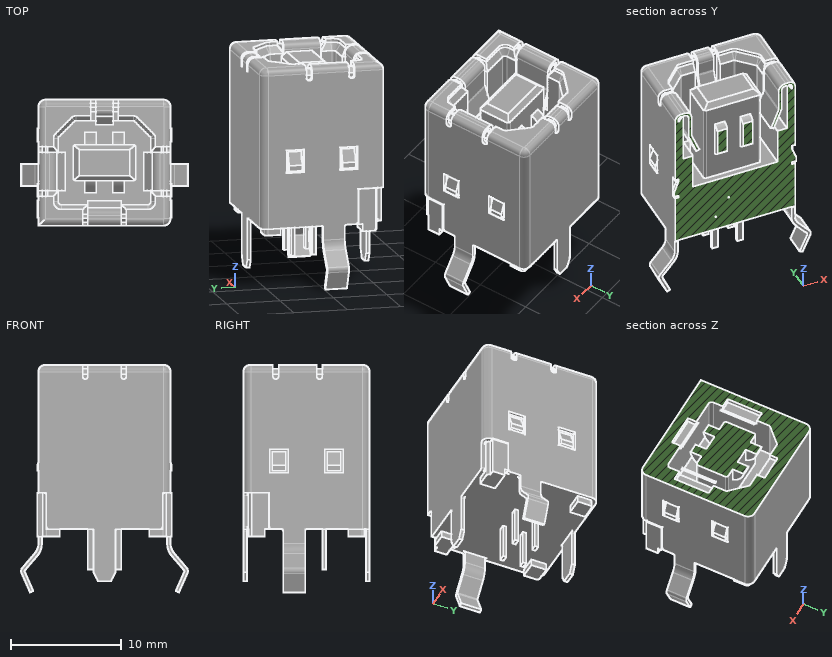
import cadquery as cq
import math


SHELL_X = 12.0
SHELL_Y = 11.46
SHELL_TOP = 14.9
SHEET = 0.34
CORNER_RADIUS = 0.68
RIM_RADIUS = 0.63
HALF_X = SHELL_X / 2
HALF_Y = SHELL_Y / 2
INNER_X = HALF_X - SHEET
INNER_Y = HALF_Y - SHEET
INNER_TOP = SHELL_TOP - SHEET

SLOT_DEPTH = 1.3
TAB_KINK_BEND = 0.3
TAB_LEAN_HEIGHT = 2.0
TAB_SIDE_Y = -0.8

CAVITY_X = 4.2
CAVITY_Y = 3.82
CAVITY_CHAMFER = 1.55
CAVITY_CORNER = 0.3
CAVITY_BEVEL_ROUND = 0.1
CAVITY_FLOOR = 5.9
LEAD_IN = 0.42
LEAD_IN_DEPTH = 0.7
RECESS_DEPTH = 5.0
HOUSING_CHAMFER = 0.35
HOUSING_CHAMFER_DROP = 0.52

TONGUE_X = 5.66
TONGUE_Y = 3.24
TONGUE_TOP = 14.45
TONGUE_CORNER = 0.22
TONGUE_BEVEL_X = 0.55
TONGUE_BEVEL_Y = 0.44
TONGUE_BEVEL_DROP = 0.55
CONTACT_X = 1.27
CONTACT_WIDTH = 1.0
CONTACT_REACH = 2.74
CONTACT_BOTTOM = 8.5
CONTACT_TOP = 12.0

PIN_X = 1.25
PIN_WIDTH = 0.58
PIN_ROW_PITCH = 2.0
PIN_BACK_ROW_Y = 1.6
PIN_BOTTOM = -3.66
PIN_ROOT = 1.0

LATCH_Y = 2.5
WINDOW_WIDTH = 1.66
WINDOW_BOTTOM = 5.11
WINDOW_TOP = 7.23
LATCH_WIDTH = 1.22
LATCH_BOTTOM = 5.29
LATCH_EDGE = 5.81
LATCH_TOP = 7.0

BLOCK_X = 6.1
BLOCK_TOP = 3.28
BLOCK_BACK_Y = -3.42
BLOCK_STEP_Y = -4.98
BLOCK_NOSE_X = 5.3
NOTCH_X = 5.26
NOTCH_GAP = 0.06
NOTCH_ROUND = 0.2
FOOT_BOTTOM = -0.68
FOOT_INNER_X = 4.05
FOOT_INNER_Y = 3.77
FOOT_OUTER_Y = 5.27
FOOT_ROUND = 0.28

LEG_WIDTH = 2.02
LEG_ROOT_ROUND = 0.15
STRAIGHT_LEG_SHOULDER = -3.92
STRAIGHT_LEG_BOTTOM = -4.74
STRAIGHT_LEG_TIP_WIDTH = 1.16
SPRING_LEG_Y = -1.12
SPRING_LEG_TIP_Z = -5.675
SPRING_LEG_KNEE_Z = -3.76
SPRING_LEG_BEND_Z = -1.86
SPRING_LEG_MITRE_SPAN = 15.24
SPRING_LEG_TIP_X = 6.6
SPRING_LEG_ROUND_UPPER = 1.4
SPRING_LEG_ROUND_KNEE = 0.1


def box(x0, x1, y0, y1, z0, z1):
    return cq.Workplane("XY").box(x1 - x0, y1 - y0, z1 - z0, centered=False).translate((x0, y0, z0))


def rounded_edge(body, direction, point, radius):
    """Fillet the edge that runs in the given direction and lies nearest to the point."""
    nearest = cq.selectors.NearestToPointSelector(point)
    return body.edges(direction).edges(nearest).fillet(radius)


def beveled_post(size, bottom, top, bevel, corner_radius, round_edges):
    """Upright block with rounded vertical edges and a flat bevel around its top."""
    size_x, size_y = size
    bevel_x, bevel_y, drop = bevel
    post = cq.Workplane("XY", origin=(0, 0, bottom)).rect(size_x, size_y).extrude(top - bottom)
    post = post.edges(round_edges).fillet(corner_radius)
    shaft = cq.Workplane("XY", origin=(0, 0, bottom)).rect(size_x, size_y).extrude(top - drop - bottom)
    tip = (
        cq.Workplane("XY", origin=(0, 0, top - drop))
        .rect(size_x, size_y)
        .workplane(offset=drop)
        .rect(size_x - 2 * bevel_x, size_y - 2 * bevel_y)
        .loft(ruled=True)
    )
    return post.intersect(shaft.union(tip))


def bent_strip(path, width, bend_radii):
    """Sheet strip whose mid-line is a path in XZ, centred on Y = 0, with rounded bends."""
    half = SHEET / 2
    angles = [math.atan2(b[1] - a[1], b[0] - a[0]) for a, b in zip(path, path[1:])]
    incoming = angles[:1] + angles
    outgoing = angles + angles[-1:]
    left = []
    right = []
    for (x, z), a, b in zip(path, incoming, outgoing):
        reach = half / math.cos((b - a) / 2)
        dx = -reach * math.sin((a + b) / 2)
        dz = reach * math.cos((a + b) / 2)
        left.append((x + dx, z + dz))
        right.append((x - dx, z - dz))
    strip = cq.Workplane("XZ").polyline(left + right[::-1]).close().extrude(width / 2, both=True)
    bends = zip(left[1:-1], right[1:-1], angles, angles[1:], bend_radii)
    for left_corner, right_corner, a, b, inner_radius in bends:
        turns_left = math.sin(b - a) > 0
        left_radius = inner_radius if turns_left else inner_radius + SHEET
        right_radius = inner_radius + SHEET if turns_left else inner_radius
        for (x, z), radius in ((left_corner, left_radius), (right_corner, right_radius)):
            strip = rounded_edge(strip, "|Y", (x, 0, z), radius)
    return strip


def mirrored_x(body):
    return body.union(body.mirror("YZ"))


SIDE_TAB = {
    "wall": HALF_X,
    "cavity": CAVITY_X,
    "width": 3.46,
    "slot": 0.52,
    "face": 4.32,
    "bend": 0.36,
    "kink_drop": 2.9,
    "tip": 3.53,
    "recess_wall": 5.15,
    "flared": True,
}
FRONT_TAB = {
    "wall": HALF_Y,
    "cavity": CAVITY_Y,
    "width": 3.06,
    "slot": 0.44,
    "face": 4.08,
    "bend": 0.35,
    "kink_drop": 2.9,
    "tip": 3.46,
    "recess_wall": 4.7,
    "flared": True,
}
BACK_TAB = {
    "wall": HALF_Y,
    "cavity": CAVITY_Y,
    "width": 1.56,
    "slot": 0.47,
    "face": 4.19,
    "bend": 0.2,
    "kink_drop": 1.85,
    "tip": 3.44,
    "recess_wall": 4.6,
    "flared": False,
}
TAB_PLACES = [
    (SIDE_TAB, 0, TAB_SIDE_Y),
    (SIDE_TAB, 180, -TAB_SIDE_Y),
    (FRONT_TAB, 90, 0),
    (BACK_TAB, -90, 0),
]


def turned(body, turn):
    return body.rotate((0, 0, 0), (0, 0, 1), turn)


def cavity_outline(grow, z):
    """D-shaped cavity outline at height z: beveled corners at +Y, round corners at -Y."""
    bevel = CAVITY_CHAMFER + grow * (2 - math.sqrt(2))
    x = CAVITY_X + grow
    y = CAVITY_Y + grow
    height = INNER_TOP - CAVITY_FLOOR
    points = [(-x, -y), (x, -y), (x, y - bevel), (x - bevel, y), (bevel - x, y), (-x, y - bevel)]
    prism = cq.Workplane("XY", origin=(0, 0, z)).polyline(points).close().extrude(height)
    prism = prism.edges("|Z and <Y").fillet(CAVITY_CORNER + grow)
    prism = prism.edges("|Z and >Y").fillet(CAVITY_BEVEL_ROUND + grow)
    for corner_x in (-x, x):
        corner = (corner_x, y - bevel, z + height / 2)
        prism = rounded_edge(prism, "|Z", corner, CAVITY_BEVEL_ROUND + grow)
    return prism.faces("<Z").wires().val()


def prism_of(wire, height):
    return cq.Workplane(cq.Solid.extrudeLinear(wire, [], cq.Vector(0, 0, height)))


def make_shell():
    outer = box(-HALF_X, HALF_X, -HALF_Y, HALF_Y, 0, SHELL_TOP)
    outer = outer.edges("|Z and (>X or >Y)").fillet(CORNER_RADIUS)
    outer = outer.faces(">Z").edges().fillet(RIM_RADIUS)
    inner = box(-INNER_X, INNER_X, -INNER_Y, INNER_Y, 0, INNER_TOP)
    inner = inner.edges("|Z and (>X or >Y)").fillet(CORNER_RADIUS - SHEET)
    inner = inner.faces(">Z").edges().fillet(RIM_RADIUS - SHEET)
    shell = outer.cut(inner)
    shell = shell.cut(prism_of(cavity_outline(LEAD_IN, INNER_TOP), SHEET))
    for place in TAB_PLACES:
        shell = shell.cut(tab_slots(*place))
    for y in (-LATCH_Y, LATCH_Y):
        window = box(-HALF_X, HALF_X, y - WINDOW_WIDTH / 2, y + WINDOW_WIDTH / 2, WINDOW_BOTTOM, WINDOW_TOP)
        shell = shell.cut(window)
    shell = shell.cut(corner_notches())
    for side in (-1, 1):
        side_corner = (side * (HALF_X - SHEET / 2), BLOCK_BACK_Y + NOTCH_GAP, 0)
        shell = rounded_edge(shell, "|X", side_corner, NOTCH_ROUND)
        front_x = side * NOTCH_X
        for z in (0, BLOCK_TOP):
            shell = rounded_edge(shell, "|Y", (front_x, -HALF_Y + SHEET / 2, z), NOTCH_ROUND)
    return shell


def tab_slots(tab, turn, centre):
    """Round-bottomed slots either side of a tab, joined by the clearance for its bend."""
    radius = tab["slot"] / 2
    round_z = SHELL_TOP - SLOT_DEPTH + radius
    offset = (tab["width"] + tab["slot"]) / 2
    slots = []
    for y in (centre - offset, centre + offset):
        slot = box(-tab["wall"], -tab["cavity"], y - radius, y + radius, round_z, SHELL_TOP)
        bottom = cq.Workplane("YZ", origin=(-tab["wall"], y, round_z)).circle(radius)
        slots.append(slot.union(bottom.extrude(tab["wall"] - tab["cavity"])))
    bend_start = tab["face"] + tab["bend"] + SHEET
    clearance = box(-bend_start, -tab["cavity"], centre - offset, centre + offset, INNER_TOP, SHELL_TOP)
    return turned(slots[0].union(slots[1]).union(clearance), turn)


def tab_spring(tab, turn, centre):
    """Tab running in from the rim, bending straight down, then leaning into the cavity."""
    rim_z = SHELL_TOP - SHEET / 2
    kink_z = SHELL_TOP - tab["kink_drop"]
    down_x = -tab["face"] - SHEET / 2
    tip_x = -tab["tip"] - SHEET / 2
    path = [
        (-tab["wall"] + RIM_RADIUS, rim_z),
        (down_x, rim_z),
        (down_x, kink_z),
        (tip_x, kink_z - TAB_LEAN_HEIGHT),
    ]
    spring = bent_strip(path, tab["width"], [tab["bend"], TAB_KINK_BEND])
    return turned(spring.translate((0, centre, 0)), turn)


def tab_recess(tab, turn, centre):
    """Pocket in the housing wall behind a tab, as wide as the slots at its mouth."""
    wide = tab["width"] / 2 + tab["slot"]
    narrow = tab["width"] / 2 if tab["flared"] else wide
    flare_z = INNER_TOP - LEAD_IN_DEPTH
    bottom = INNER_TOP - RECESS_DEPTH
    half_profile = [(wide, INNER_TOP), (narrow, flare_z), (narrow, bottom)]
    other_half = [(-y, z) for y, z in reversed(half_profile)]
    pocket = cq.Workplane("YZ", origin=(-tab["recess_wall"], centre, 0))
    pocket = pocket.polyline(half_profile + other_half).close()
    return turned(pocket.extrude(tab["recess_wall"] - tab["cavity"]), turn)


def corner_notches():
    """Cut-outs at the lower front corners of the shell that clear the housing blocks."""
    notch = box(-HALF_X, -NOTCH_X, -HALF_Y, BLOCK_BACK_Y + NOTCH_GAP, 0, BLOCK_TOP)
    return mirrored_x(notch)


def make_housing():
    size = (2 * INNER_X, 2 * INNER_Y)
    bevel = (HOUSING_CHAMFER, HOUSING_CHAMFER, HOUSING_CHAMFER_DROP)
    body = beveled_post(size, 0, INNER_TOP, bevel, CORNER_RADIUS - SHEET, "|Z and (>X or >Y)")
    body = body.cut(mirrored_x(box(-INNER_X, -NOTCH_X, -INNER_Y, BLOCK_BACK_Y, 0, BLOCK_TOP)))

    cavity = prism_of(cavity_outline(0, CAVITY_FLOOR), INNER_TOP - CAVITY_FLOOR)
    lead_in_wires = [cavity_outline(0, INNER_TOP - LEAD_IN_DEPTH), cavity_outline(LEAD_IN, INNER_TOP)]
    lead_in = cq.Workplane(cq.Solid.makeLoft(lead_in_wires, True))
    body = body.cut(cavity).cut(lead_in)
    for place in TAB_PLACES:
        body = body.cut(tab_recess(*place))
    return body.union(mirrored_x(corner_block())).union(feet()).union(latches())


def corner_block():
    """Block in the notch at the front left corner, stepped and rounded towards -Y."""
    bend_y = -FOOT_OUTER_Y
    round_start = BLOCK_NOSE_X + FOOT_ROUND
    diagonal = FOOT_ROUND * math.sqrt(0.5)
    outline = (
        cq.Workplane("XY")
        .moveTo(-BLOCK_X, BLOCK_BACK_Y)
        .lineTo(-BLOCK_X, BLOCK_STEP_Y)
        .lineTo(-round_start, BLOCK_STEP_Y)
        .threePointArc(
            (-BLOCK_NOSE_X - diagonal, bend_y + FOOT_ROUND - diagonal),
            (-BLOCK_NOSE_X, bend_y),
        )
        .lineTo(-FOOT_INNER_X, bend_y)
        .lineTo(-FOOT_INNER_X, BLOCK_BACK_Y)
        .close()
    )
    return outline.extrude(BLOCK_TOP)


def feet():
    """Stand-off feet under the four corners; the front ones continue the corner blocks."""
    front = corner_block().translate((0, 0, FOOT_BOTTOM))
    front = front.intersect(box(-BLOCK_X, -FOOT_INNER_X, -FOOT_OUTER_Y, -FOOT_INNER_Y, FOOT_BOTTOM, 0))
    back = box(-INNER_X, -FOOT_INNER_X, FOOT_INNER_Y, FOOT_OUTER_Y, FOOT_BOTTOM, 0)
    back = back.edges("|Z and <X and >Y").fillet(FOOT_ROUND)
    return mirrored_x(front.union(back))


def latches():
    """Wedges on the housing sides that snap into the shell windows."""
    profile = [
        (-INNER_X, LATCH_BOTTOM),
        (-BLOCK_X, LATCH_BOTTOM),
        (-BLOCK_X, LATCH_EDGE),
        (-INNER_X, LATCH_TOP),
    ]
    wedge = cq.Workplane("XZ").polyline(profile).close().extrude(LATCH_WIDTH / 2, both=True)
    pair = wedge.translate((0, -LATCH_Y, 0)).union(wedge.translate((0, LATCH_Y, 0)))
    return mirrored_x(pair)


def make_tongue():
    bevel = (TONGUE_BEVEL_X, TONGUE_BEVEL_Y, TONGUE_BEVEL_DROP)
    tongue = beveled_post((TONGUE_X, TONGUE_Y), CAVITY_FLOOR, TONGUE_TOP, bevel, TONGUE_CORNER, "|Z")
    return tongue.union(contacts())


def contacts():
    """Four bowed contacts on the wide sides of the tongue."""
    face = TONGUE_Y / 2
    middle = (CONTACT_TOP + CONTACT_BOTTOM) / 2
    bow = (
        cq.Workplane("YZ")
        .moveTo(-face, CONTACT_BOTTOM)
        .threePointArc((-CONTACT_REACH, middle), (-face, CONTACT_TOP))
        .close()
        .extrude(CONTACT_WIDTH / 2, both=True)
        .translate((CONTACT_X, 0, 0))
    )
    side = mirrored_x(bow)
    return side.union(side.mirror("XZ"))


def pins():
    """Two rows of two flat solder pins."""
    pin = box(-PIN_WIDTH / 2, PIN_WIDTH / 2, -SHEET / 2, SHEET / 2, PIN_BOTTOM, PIN_ROOT)
    row = pin.translate((-PIN_X, 0, 0)).union(pin.translate((PIN_X, 0, 0)))
    front_row_y = PIN_BACK_ROW_Y - PIN_ROW_PITCH
    return row.translate((0, PIN_BACK_ROW_Y, 0)).union(row.translate((0, front_row_y, 0)))


def leg_root():
    """Flared top of a leg where it leaves the shell rim; runs along X, starts at Y = 0."""
    half = LEG_WIDTH / 2
    flare = half + LEG_ROOT_ROUND
    root = cq.Workplane("XZ").moveTo(-flare, 0).radiusArc((-half, -LEG_ROOT_ROUND), LEG_ROOT_ROUND)
    root = root.lineTo(half, -LEG_ROOT_ROUND).radiusArc((flare, 0), LEG_ROOT_ROUND).close()
    return root.extrude(-SHEET)


def straight_legs():
    """Pointed flat legs in the front and back walls."""
    half = LEG_WIDTH / 2
    tip = STRAIGHT_LEG_TIP_WIDTH / 2
    outline = [
        (-half, 0),
        (-half, STRAIGHT_LEG_SHOULDER),
        (-tip, STRAIGHT_LEG_BOTTOM),
        (tip, STRAIGHT_LEG_BOTTOM),
        (half, STRAIGHT_LEG_SHOULDER),
        (half, 0),
    ]
    leg = cq.Workplane("XZ").polyline(outline).close().extrude(-SHEET)
    leg = leg.union(leg_root()).translate((0, -HALF_Y, 0))
    return leg.union(leg.mirror("XZ"))


def spring_legs():
    """Kinked board-lock legs in the side walls."""
    wall_x = -HALF_X + SHEET / 2
    knee_x = -SPRING_LEG_MITRE_SPAN / 2 + SHEET / 2
    path = [
        (wall_x, 0),
        (wall_x, SPRING_LEG_BEND_Z),
        (knee_x, SPRING_LEG_KNEE_Z),
        (-SPRING_LEG_TIP_X, SPRING_LEG_TIP_Z),
    ]
    leg = bent_strip(path, LEG_WIDTH, [SPRING_LEG_ROUND_UPPER, SPRING_LEG_ROUND_KNEE])
    root = turned(leg_root(), -90).translate((-HALF_X, 0, 0))
    leg = leg.union(root).translate((0, SPRING_LEG_Y, 0))
    return mirrored_x(leg)


result = make_shell().union(make_housing()).union(make_tongue()).union(pins())
result = result.union(straight_legs()).union(spring_legs())
for tab_place in TAB_PLACES:
    result = result.union(tab_spring(*tab_place))